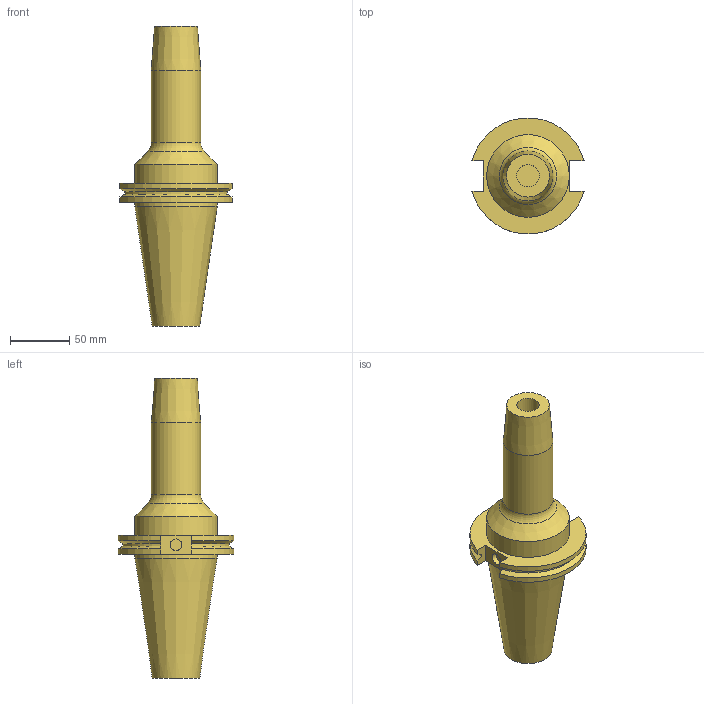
import cadquery as cq
import math

overall_length = 254.0
taper_length = 101.6
gauge_to_flange = 3.175
flange_thickness = 15.875
shoulder_height = 16.2
nose_length = 37.6

flange_bottom_z = taper_length + gauge_to_flange
flange_top_z = flange_bottom_z + flange_thickness
shoulder_top_z = flange_top_z + shoulder_height
nose_start_z = overall_length - nose_length

gauge_radius = 69.85 / 2
taper_ratio = 7 / 24
taper_end_radius = gauge_radius - taper_length * taper_ratio / 2
flange_radius = 98.425 / 2
shoulder_radius = 35.0
shank_radius = 21.0
nose_tip_radius = 18.1

blend_radius = 11.0
cone_angle = math.radians(45)
blend_half_turn = cone_angle / 2
blend_corner_z = shoulder_top_z + (shoulder_radius - shank_radius) / math.tan(cone_angle)
blend_tangent_length = blend_radius * math.tan(blend_half_turn)
blend_top_z = blend_corner_z + blend_tangent_length
blend_center_r = shank_radius + blend_radius

groove_center_z = taper_length + 11.1
groove_mouth = 6.9
groove_root_radius = 45.2
groove_half_angle = math.radians(30)
groove_depth = flange_radius - groove_root_radius
groove_root = groove_mouth - 2 * groove_depth * math.tan(groove_half_angle)

slot_width = 25.908
slot_floor_minus_x = 37.72
slot_floor_plus_x = 35.3

pocket_diameter = 10.0
pocket_depth = 4.6
pocket_z = flange_bottom_z + flange_thickness / 2

bore_diameter = 19.05
bore_depth = 50.8


def blend_point(angle):
    """Point (radius, height) on the blend arc, angle measured from its shank tangent."""
    radius = blend_center_r - blend_radius * math.cos(angle)
    height = blend_top_z - blend_radius * math.sin(angle)
    return radius, height


def turned_body():
    """Revolve the half outline of taper, flange, shoulder, shank and nose."""
    outline = (
        cq.Workplane("XZ")
        .moveTo(0, 0)
        .lineTo(taper_end_radius, 0)
        .lineTo(gauge_radius, taper_length)
        .lineTo(gauge_radius, flange_bottom_z)
        .lineTo(flange_radius, flange_bottom_z)
        .lineTo(flange_radius, groove_center_z - groove_mouth / 2)
        .lineTo(groove_root_radius, groove_center_z - groove_root / 2)
        .lineTo(groove_root_radius, groove_center_z + groove_root / 2)
        .lineTo(flange_radius, groove_center_z + groove_mouth / 2)
        .lineTo(flange_radius, flange_top_z)
        .lineTo(shoulder_radius, flange_top_z)
        .lineTo(shoulder_radius, shoulder_top_z)
        .lineTo(*blend_point(cone_angle))
        .threePointArc(blend_point(blend_half_turn), (shank_radius, blend_top_z))
        .lineTo(shank_radius, nose_start_z)
        .lineTo(nose_tip_radius, overall_length)
        .lineTo(0, overall_length)
        .close()
    )
    return outline.revolve(360, (0, 0, 0), (0, 1, 0))


def drive_slot(floor_distance, side):
    """Block that cuts one drive slot; side is -1 for -X and +1 for +X."""
    depth = flange_radius - floor_distance
    return (
        cq.Workplane("XY", origin=(side * (floor_distance + depth / 2), 0, flange_bottom_z))
        .rect(depth, slot_width)
        .extrude(flange_thickness)
    )


def slot_pocket():
    """Cylinder that cuts the round pocket inward from the -X slot floor."""
    return (
        cq.Workplane("YZ", origin=(-slot_floor_minus_x, 0, pocket_z))
        .circle(pocket_diameter / 2)
        .extrude(pocket_depth)
    )


def tool_bore():
    """Cylinder that cuts the blind bore down from the nose face."""
    return (
        cq.Workplane("XY", origin=(0, 0, overall_length))
        .circle(bore_diameter / 2)
        .extrude(-bore_depth)
    )


result = (
    turned_body()
    .cut(drive_slot(slot_floor_minus_x, -1))
    .cut(drive_slot(slot_floor_plus_x, 1))
    .cut(slot_pocket())
    .cut(tool_bore())
)